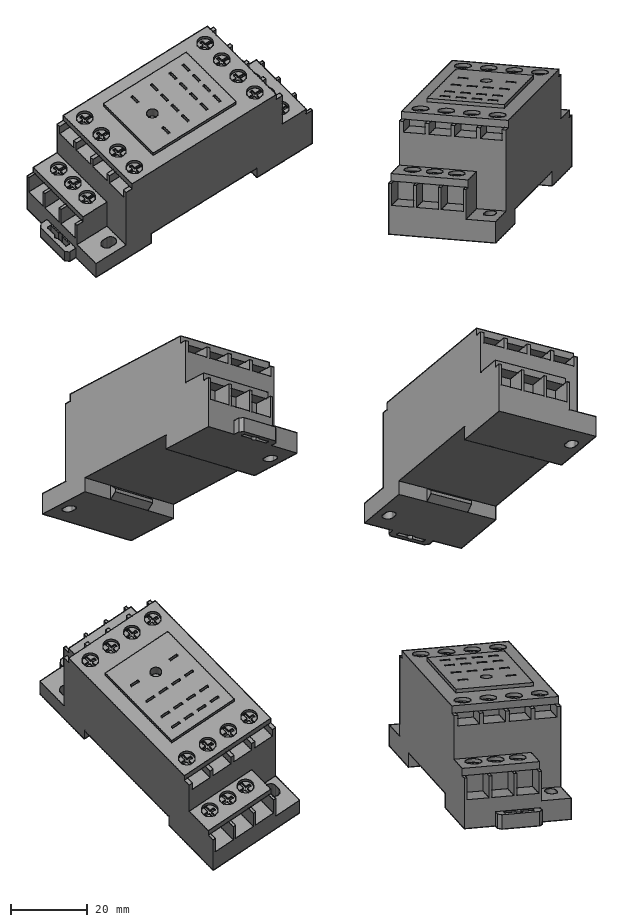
import cadquery as cq

WIDTH = 29.0
BODY_LENGTH = 72.0
TOTAL_LENGTH = 75.0
TOTAL_HEIGHT = 31.0

BASE_HEIGHT = 5.85
STEP_WIDTH = 21.0
STEP_HEIGHT = 16.0
TOWER_LENGTH = 52.05
TOWER_HEIGHT = 30.0
LEDGE_DEPTH = 2.0
LEDGE_DROP = 2.0

POCKET_DEPTH = 6.0
TOWER_POCKET_COUNT = 4
TOWER_POCKET_PITCH = 7.0
TOWER_POCKET_WIDTH = 5.9
TOWER_POCKET_FLOOR = 25.05
STEP_POCKET_COUNT = 3
STEP_POCKET_PITCH = 6.75
STEP_POCKET_WIDTH = 6.0
STEP_POCKET_FLOOR = 7.95

SCREW_DIAMETER = 4.35
SCREW_RECESS_DEPTH = 1.0
CROSS_DEPTH = 0.6
CROSS_SLOT_WIDTH = 0.75
CROSS_LENGTH_X = 3.2
CROSS_LENGTH_Y = 4.05
TOWER_SCREW_Y = 20.0
STEP_SCREW_Y = 29.0
STEP_SCREW_PITCH = 6.0
STEP_SCREW_OFFSET = 4.05

MOUNT_HOLE_WIDTH = 3.0
MOUNT_HOLE_LENGTH = 4.35
MOUNT_HOLE_X = 11.0
MOUNT_HOLE_Y = 29.0

PLATE_WIDTH = 21.0
PLATE_LENGTH = 27.6
CONTACT_LENGTH = 2.55
CONTACT_WIDTH = 0.6
CONTACT_DEPTH = 3.0
CONTACT_COLUMNS = 4
CONTACT_PITCH = 4.35
FULL_CONTACT_ROWS = (10.6, 6.2, 0.0)
COIL_CONTACT_ROW = -6.45
GUIDE_HOLE_DIAMETER = 3.0
GUIDE_HOLE_Y = -5.8
GUIDE_HOLE_DEPTH = 3.0

NOTCH_LENGTH = 35.1
NOTCH_HEIGHT = 4.0
HOOK_REACH = 2.0
HOOK_TIP_HEIGHT = 1.0
CLIP_WIDTH = 12.15
CLIP_CHAMFER = 1.0
CLIP_SLOT_LENGTH = 7.95
CLIP_SLOT_WIDTH = 1.2
CLIP_HOLE_DIAMETER = 2.0

CLIP_REACH = TOTAL_LENGTH - BODY_LENGTH
STEP_X = (STEP_WIDTH - WIDTH) / 2


def block(width, length, bottom, top, x=0, y=0):
    """Upright box centred on (x, y) between two heights."""
    return cq.Workplane("XY", origin=(x, y, bottom)).rect(width, length).extrude(top - bottom)


def half_turn(shape):
    """Same shape at the opposite end of the body."""
    return shape.rotate((0, 0, 0), (0, 0, 1), 180)


def row(count, pitch, centre=0):
    """Evenly spaced positions about a centre."""
    return [centre + (i - (count - 1) / 2) * pitch for i in range(count)]


def terminal_end_cuts(width, x, end_y, top, pocket_xs, pocket_width, pocket_floor):
    """Ledge and wire pockets at the -Y end of a terminal level."""
    ledge_z = top - LEDGE_DROP
    cuts = block(width, LEDGE_DEPTH, ledge_z, top, x, end_y + LEDGE_DEPTH / 2)
    for pocket_x in pocket_xs:
        pocket_y = end_y + POCKET_DEPTH / 2
        cuts = cuts.union(block(pocket_width, POCKET_DEPTH, pocket_floor, ledge_z, pocket_x, pocket_y))
    return cuts


def screw_cut(x, y, top):
    """Round recess with a cross slot sunk into its floor."""
    floor = top - SCREW_RECESS_DEPTH
    slot_bottom = floor - CROSS_DEPTH
    recess = cq.Workplane("XY", origin=(x, y, floor)).circle(SCREW_DIAMETER / 2).extrude(SCREW_RECESS_DEPTH)
    return (
        recess
        .union(block(CROSS_LENGTH_X, CROSS_SLOT_WIDTH, slot_bottom, floor, x, y))
        .union(block(CROSS_SLOT_WIDTH, CROSS_LENGTH_Y, slot_bottom, floor, x, y))
    )


def front_half_cuts():
    """All terminal cuts and the mounting hole at the -Y end."""
    cuts = terminal_end_cuts(
        WIDTH, 0, -TOWER_LENGTH / 2, TOWER_HEIGHT,
        row(TOWER_POCKET_COUNT, TOWER_POCKET_PITCH), TOWER_POCKET_WIDTH, TOWER_POCKET_FLOOR,
    )
    cuts = cuts.union(terminal_end_cuts(
        STEP_WIDTH, STEP_X, -BODY_LENGTH / 2, STEP_HEIGHT,
        row(STEP_POCKET_COUNT, STEP_POCKET_PITCH, STEP_X), STEP_POCKET_WIDTH, STEP_POCKET_FLOOR,
    ))
    for x in row(TOWER_POCKET_COUNT, TOWER_POCKET_PITCH):
        cuts = cuts.union(screw_cut(x, -TOWER_SCREW_Y, TOWER_HEIGHT))
    for x in row(STEP_POCKET_COUNT, STEP_SCREW_PITCH, -STEP_SCREW_OFFSET):
        cuts = cuts.union(screw_cut(x, -STEP_SCREW_Y, STEP_HEIGHT))
    mount_hole = (
        cq.Workplane("XY", origin=(MOUNT_HOLE_X, -MOUNT_HOLE_Y, 0))
        .slot2D(MOUNT_HOLE_LENGTH, MOUNT_HOLE_WIDTH, 90)
        .extrude(BASE_HEIGHT)
    )
    return cuts.union(mount_hole)


def stepped_body():
    """Base, tower and the two diagonally opposite terminal steps."""
    step_length = (BODY_LENGTH - TOWER_LENGTH) / 2
    step_y = -(BODY_LENGTH - step_length) / 2
    step = block(STEP_WIDTH, step_length, 0, STEP_HEIGHT, STEP_X, step_y)
    return (
        block(WIDTH, BODY_LENGTH, 0, BASE_HEIGHT)
        .union(block(WIDTH, TOWER_LENGTH, 0, TOWER_HEIGHT))
        .union(step)
        .union(half_turn(step))
    )


def relay_plate():
    """Raised plate on the tower."""
    return block(PLATE_WIDTH, PLATE_LENGTH, TOWER_HEIGHT, TOTAL_HEIGHT)


def relay_plate_cuts():
    """Contact slots and the round guide hole."""
    columns = row(CONTACT_COLUMNS, CONTACT_PITCH)
    places = [(x, y) for y in FULL_CONTACT_ROWS for x in columns]
    places += [(columns[0], COIL_CONTACT_ROW), (columns[-1], COIL_CONTACT_ROW)]
    slots = (
        cq.Workplane("XY", origin=(0, 0, TOTAL_HEIGHT))
        .pushPoints(places)
        .rect(CONTACT_LENGTH, CONTACT_WIDTH)
        .extrude(-CONTACT_DEPTH)
    )
    guide_hole = (
        cq.Workplane("XY", origin=(0, GUIDE_HOLE_Y, TOTAL_HEIGHT))
        .circle(GUIDE_HOLE_DIAMETER / 2)
        .extrude(-GUIDE_HOLE_DEPTH)
    )
    return slots.union(guide_hole)


def rail_hook():
    """Tapered hook on the -Y wall of the rail notch, as wide as the clip."""
    wall_y = -NOTCH_LENGTH / 2
    tip_y = wall_y + HOOK_REACH
    tip_bottom = (NOTCH_HEIGHT - HOOK_TIP_HEIGHT) / 2
    tip_top = tip_bottom + HOOK_TIP_HEIGHT
    return (
        cq.Workplane("YZ", origin=(-CLIP_WIDTH / 2, 0, 0))
        .polyline([(wall_y, 0), (tip_y, tip_bottom), (tip_y, tip_top), (wall_y, NOTCH_HEIGHT)])
        .close()
        .extrude(CLIP_WIDTH)
    )


def release_clip():
    """Chamfered tab on the -Y end with a slot widened by a round hole."""
    end_y = -BODY_LENGTH / 2
    hole_y = end_y - CLIP_HOLE_DIAMETER / 2
    tab = (
        block(CLIP_WIDTH, CLIP_REACH, 0, NOTCH_HEIGHT, 0, end_y - CLIP_REACH / 2)
        .edges("|Z and <Y")
        .chamfer(CLIP_CHAMFER)
    )
    hole = (
        cq.Workplane("XY", origin=(0, hole_y, 0))
        .circle(CLIP_HOLE_DIAMETER / 2)
        .extrude(NOTCH_HEIGHT)
    )
    return tab.cut(block(CLIP_SLOT_LENGTH, CLIP_SLOT_WIDTH, 0, NOTCH_HEIGHT, 0, hole_y)).cut(hole)


end_cuts = front_half_cuts()
hook = rail_hook()

result = (
    stepped_body()
    .cut(end_cuts)
    .cut(half_turn(end_cuts))
    .union(relay_plate())
    .cut(relay_plate_cuts())
    .cut(block(WIDTH, NOTCH_LENGTH, 0, NOTCH_HEIGHT))
    .union(hook)
    .union(half_turn(hook))
    .union(release_clip())
)